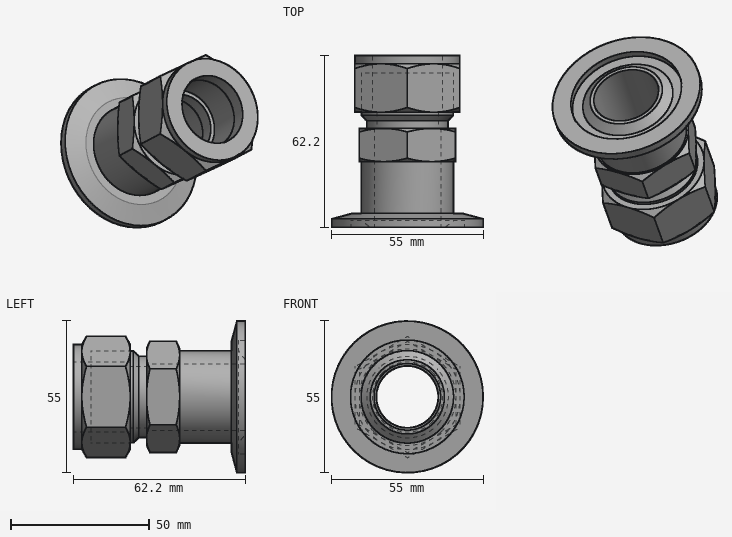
import cadquery as cq
import math

flange_diameter = 55.0
flange_shoulder_diameter = 40.15
flange_rim_end = 3.05
flange_end = 5.05

recess_diameter = 41.2
recess_depth = 2.55
lip_base_diameter = 33.55
lip_tip_diameter = 26.9

barrel_diameter = 33.55
body_hex_start = 23.8
body_hex_end = 35.8
body_hex_flats = 35.0
body_hex_chamfer = 1.25

neck_diameter = 29.55
neck_end = 38.6
thread_diameter = 33.35
thread_start = 40.6
thread_end = 56.0

entry_bore_diameter = 24.15
through_bore_diameter = 22.35
tube_diameter = 25.4
through_bore_start = body_hex_end
tube_socket_start = 41.7

nut_start = 41.7
nut_hex_end = 59.2
nut_end = 62.2
nut_flats = 38.1
nut_chamfer = 1.7
nut_collar_diameter = nut_flats


def revolve_profile(points):
    """Turn a profile of (diameter, station) points about the Y axis."""
    outline = [(diameter / 2, station) for diameter, station in points]
    return cq.Workplane("XY").polyline(outline).close().revolve(360, (0, 0, 0), (0, 1, 0))


def cylinder(diameter, start, end):
    return revolve_profile([(0, start), (diameter, start), (diameter, end), (0, end)])


def chamfered_hex(flats, start, end, chamfer):
    """Hexagonal prism with corners at +Z and -Z, its ends turned down conically to the flats."""
    corners = flats / math.cos(math.pi / 6)
    prism = (
        cq.Workplane("XZ", origin=(0, start, 0))
        .transformed(rotate=(0, 0, 90))
        .polygon(6, corners)
        .extrude(start - end)
    )
    envelope = revolve_profile([
        (0, start),
        (flats, start),
        (corners, start + chamfer),
        (corners, end - chamfer),
        (flats, end),
        (0, end),
    ])
    return prism.intersect(envelope)


def make_fitting_body():
    flange_and_barrel = revolve_profile([
        (0, 0),
        (flange_diameter, 0),
        (flange_diameter, flange_rim_end),
        (flange_shoulder_diameter, flange_end),
        (barrel_diameter, flange_end),
        (barrel_diameter, body_hex_start),
        (0, body_hex_start),
    ])
    wrench_hex = chamfered_hex(body_hex_flats, body_hex_start, body_hex_end, body_hex_chamfer)
    threaded_end = revolve_profile([
        (0, body_hex_end),
        (neck_diameter, body_hex_end),
        (neck_diameter, neck_end),
        (thread_diameter, thread_start),
        (thread_diameter, thread_end),
        (0, thread_end),
    ])
    face_recess = revolve_profile([
        (lip_tip_diameter, 0),
        (recess_diameter, 0),
        (recess_diameter, recess_depth),
        (lip_base_diameter, recess_depth),
    ])
    stepped_bore = (
        cylinder(entry_bore_diameter, 0, through_bore_start)
        .union(cylinder(through_bore_diameter, through_bore_start, tube_socket_start))
        .union(cylinder(tube_diameter, tube_socket_start, thread_end))
    )
    return flange_and_barrel.union(wrench_hex).union(threaded_end).cut(face_recess).cut(stepped_bore)


def make_nut():
    hexagon = chamfered_hex(nut_flats, nut_start, nut_hex_end, nut_chamfer)
    collar = cylinder(nut_collar_diameter, nut_hex_end, nut_end)
    thread_bore = cylinder(thread_diameter, nut_start, thread_end)
    tube_hole = cylinder(tube_diameter, thread_end, nut_end)
    return hexagon.union(collar).cut(thread_bore).cut(tube_hole)


fitting_body = make_fitting_body()
nut = make_nut()

result = cq.Compound.makeCompound([fitting_body.val(), nut.val()])